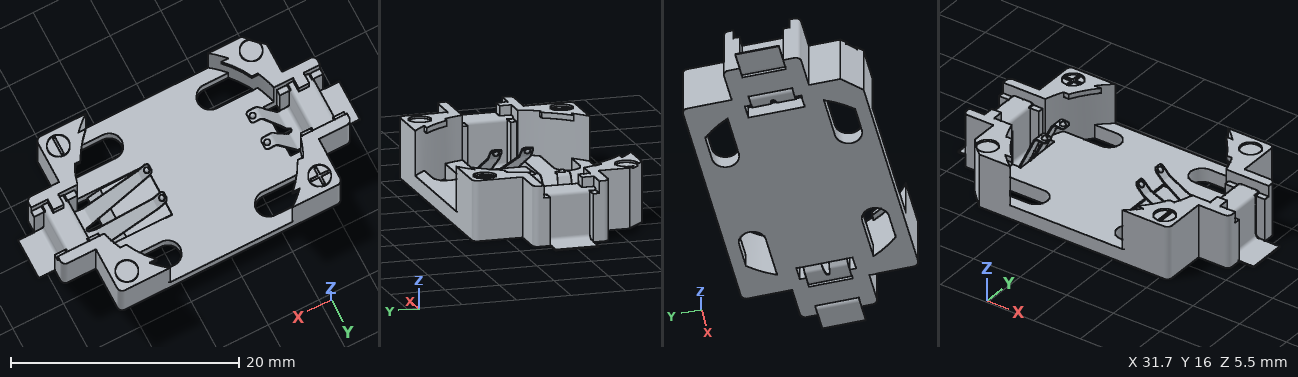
import cadquery as cq
import math


housing_height = 5.5
base_length = 22.0
base_width = 16.0
floor_height = 1.43
corner_radius = 0.5
corner_chamfer = 1.68
cell_radius = 10.02

lug_end = 14.25
lug_width = 6.97
channel_width = 5.07
shelf_height = 4.4

well_start = 8.72
well_end = 10.0

slot_y = 5.55
slot_width = 2.4
slot_inner_end = 3.77

lip_radius = 9.5
lip_thickness = 0.5

mark_x = 9.5
mark_y = 6.5
mark_radius = 1.0
mark_depth = 0.2
sign_length = 1.65
sign_width = 0.22
sign_height = 0.1

ramp_start = 2.98
ramp_knee = 7.45
ramp_start_depth = 0.2
ramp_knee_depth = 0.4
ramp_slope = 0.55

nub_length = 1.08
nub_width = 1.05

sheet = 0.1
contact_width = 3.93
contact_end = 15.85
outer_leg = 13.3
inner_leg = 10.9
bridge_top = 4.6
bend_radius = 0.4
tip_corner_radius = 0.38
bead_radius = 0.3
bead_setback = 0.4

wall_outer = outer_leg - sheet
wall_inner = inner_leg + sheet
wall_top = bridge_top - sheet
wall_centre = (wall_outer + wall_inner) / 2
mid_sheet = sheet / 2


def box(x_range, y_range, z_range):
    """Axis-aligned block between the given pairs of limits."""
    (x0, x1), (y0, y1), (z0, z1) = x_range, y_range, z_range
    return cq.Workplane("XY").box(x1 - x0, y1 - y0, z1 - z0, centered=False).translate((x0, y0, z0))


def both_ends(shape):
    """A feature of the +X end together with its mirror image at the -X end."""
    return shape.union(shape.mirror("YZ"))


def both_sides(width):
    return (-width / 2, width / 2)


def xz_prism(points, width):
    """Polygon in the XZ plane, extruded to a width centred on Y = 0."""
    return cq.Workplane("XZ").polyline(points).close().extrude(width / 2, both=True)


def housing_blank():
    full_height = (0, housing_height)
    base = box(both_sides(base_length), both_sides(base_width), full_height)
    base = base.edges("|Z").edges(">X or >Y").fillet(corner_radius)
    base = base.edges("|Z").edges("<X").edges("<Y").chamfer(corner_chamfer)
    lugs = box((-lug_end, lug_end), both_sides(lug_width), full_height)
    lugs = lugs.edges("|Z").fillet(corner_radius)
    return base.union(lugs)


def cell_bowl():
    return cq.Workplane("XY").workplane(offset=floor_height).circle(cell_radius).extrude(housing_height)


def corner_slots():
    """Through slots from a round inner end out to the wall of the bowl."""
    slot_radius = slot_width / 2
    round_x = slot_inner_end + slot_radius
    slots = cq.Workplane("XY")
    for side in (-1, 1):
        y = side * slot_y
        run = box((round_x, cell_radius), (y - slot_radius, y + slot_radius), (0, floor_height))
        end = cq.Workplane("XY").center(round_x, y).circle(slot_radius).extrude(floor_height)
        slots = slots.add(run.union(end))
    bowl_footprint = cq.Workplane("XY").circle(cell_radius).extrude(floor_height)
    return both_ends(slots.combine().intersect(bowl_footprint))


def snap_lips():
    """Ledges on the bowl wall, one above each slot and level with the top."""
    ring = cq.Workplane("XY").circle(cell_radius).circle(lip_radius).extrude(lip_thickness)
    ring = ring.translate((0, 0, housing_height - lip_thickness))
    lips = cq.Workplane("XY")
    for side in (-1, 1):
        y = side * slot_y
        y_range = (y - slot_width / 2, y + slot_width / 2)
        lips = lips.add(ring.intersect(box(both_sides(base_length), y_range, (0, housing_height))))
    return lips.combine()


def contact_seat_cut():
    """Channel across a lug, the slot for the contact legs and the well beside the floor."""
    full_width = both_sides(channel_width)
    full_height = (0, housing_height)
    channel = box((well_start, lug_end), full_width, (shelf_height, housing_height))
    well = box((well_start, well_end), full_width, full_height)
    leg_slot = box((well_end, lug_end), both_sides(contact_width), full_height)
    return both_ends(channel.union(well).union(leg_slot))


def saddle_walls():
    """Round-topped walls that carry the bridges of the contacts."""
    wall = box((wall_inner, wall_outer), both_sides(channel_width), (0, wall_top))
    return both_ends(wall.edges("|Y and >Z").fillet(bend_radius - sheet))


def nubs():
    """Blocks on the -Y channel wall that hold the bridges down."""
    x_range = (wall_centre - nub_width / 2, wall_centre + nub_width / 2)
    y_start = -channel_width / 2
    return both_ends(box(x_range, (y_start, y_start + nub_length), (bridge_top, housing_height)))


def spring_ramp():
    """Sloped pocket under the long spring arms."""
    knee_z = floor_height - ramp_knee_depth
    well_z = knee_z - ramp_slope * (well_start - ramp_knee)
    outline = [
        (ramp_start, floor_height),
        (ramp_start, floor_height - ramp_start_depth),
        (ramp_knee, knee_z),
        (well_start, well_z),
        (well_start, floor_height),
    ]
    return xz_prism(outline, channel_width)


def corner_marks():
    corners = [(x, y) for x in (-mark_x, mark_x) for y in (-mark_y, mark_y)]
    marks = cq.Workplane("XY").pushPoints(corners).circle(mark_radius).extrude(mark_depth)
    return marks.translate((0, 0, housing_height - mark_depth))


def polarity_signs():
    """Raised plus and minus bars in two of the corner marks."""
    bars = cq.Workplane("XY").pushPoints([(-mark_x, mark_y), (mark_x, -mark_y)])
    bars = bars.rect(sign_width, sign_length).extrude(sign_height)
    cross_bar = cq.Workplane("XY").center(-mark_x, mark_y)
    cross_bar = cross_bar.rect(sign_length, sign_width).extrude(sign_height)
    return bars.union(cross_bar).translate((0, 0, housing_height - mark_depth))


def make_housing():
    body = housing_blank().cut(cell_bowl()).cut(corner_slots())
    body = body.cut(contact_seat_cut()).union(saddle_walls()).cut(spring_ramp())
    body = body.cut(corner_marks()).union(polarity_signs())
    return body.union(snap_lips(), clean=False).union(nubs(), clean=False)


def unit(start, end):
    length = math.dist(start, end)
    return ((end[0] - start[0]) / length, (end[1] - start[1]) / length)


def sheet_side(points, radii, offset):
    """One face of a bent sheet as (arc start, arc middle, arc end) at each bend.

    `points` is the sheet's middle line, `radii` its middle bend radii, and
    `offset` the distance of the face to the left of the middle line.
    """
    arcs = []
    for before, corner, after, radius in zip(points, points[1:], points[2:], radii):
        way_in = unit(before, corner)
        way_out = unit(corner, after)
        turn = math.atan2(
            way_in[0] * way_out[1] - way_in[1] * way_out[0],
            way_in[0] * way_out[0] + way_in[1] * way_out[1],
        )
        left = math.copysign(1, turn)
        setback = radius * math.tan(abs(turn) / 2)
        start_x = corner[0] - way_in[0] * setback
        start_z = corner[1] - way_in[1] * setback
        centre_x = start_x - way_in[1] * radius * left
        centre_z = start_z + way_in[0] * radius * left
        face_radius = radius - offset * left
        heading = math.atan2(way_in[1], way_in[0])
        arc = []
        for share in (0, 0.5, 1):
            angle = heading + share * turn - left * math.pi / 2
            arc.append((centre_x + face_radius * math.cos(angle), centre_z + face_radius * math.sin(angle)))
        arcs.append(arc)
    return arcs


def end_point(towards, end, offset):
    """Corner of the sheet at its end, `offset` to the left of the direction of travel."""
    return (end[0] - towards[1] * offset, end[1] + towards[0] * offset)


def bent_sheet(points, radii, width):
    """Sheet of constant thickness that follows `points`, with rounded bends."""
    first = unit(points[0], points[1])
    last = unit(points[-2], points[-1])
    left = sheet_side(points, radii, mid_sheet)
    right = sheet_side(points, radii, -mid_sheet)
    profile = cq.Workplane("XZ").moveTo(*end_point(first, points[0], mid_sheet))
    for start, middle, end in left:
        profile = profile.lineTo(*start).threePointArc(middle, end)
    profile = profile.lineTo(*end_point(last, points[-1], mid_sheet))
    profile = profile.lineTo(*end_point(last, points[-1], -mid_sheet))
    for start, middle, end in reversed(right):
        profile = profile.lineTo(*end).threePointArc(middle, start)
    profile = profile.lineTo(*end_point(first, points[0], -mid_sheet)).close()
    return profile.extrude(width / 2, both=True)


def fork_notch(nose_x, root, arm_end):
    """Tapered gap between the two arms, with a round nose; `root` and `arm_end` are (x, half width)."""
    nose_radius = 0.2
    nose_start = nose_x - nose_radius
    past_tips = 0
    notch = cq.Workplane("XY").moveTo(past_tips, arm_end[1]).lineTo(*arm_end).lineTo(*root)
    notch = notch.lineTo(nose_start, nose_radius)
    notch = notch.threePointArc((nose_x, 0), (nose_start, -nose_radius))
    notch = notch.lineTo(root[0], -root[1]).lineTo(arm_end[0], -arm_end[1])
    return notch.lineTo(past_tips, -arm_end[1]).close().extrude(housing_height)


def arm_blanks(tip_x, inner_half_width):
    """Plan of the two arms, with rounded corners at the tips."""
    arms = cq.Workplane("XY")
    for side in (-1, 1):
        y_range = sorted((side * inner_half_width, side * contact_width / 2))
        arm = box((tip_x, well_end), y_range, (0, housing_height))
        arms = arms.add(arm.edges("|Z and <X").fillet(tip_corner_radius))
    return arms.combine()


def bead(knee, tip, y):
    """Round contact point that stands out of both faces of an arm near its tip."""
    along = unit(knee, tip)
    x = tip[0] - along[0] * bead_setback
    z = tip[1] - along[1] * bead_setback
    return cq.Workplane("XY").sphere(bead_radius).translate((x, y, z))


def make_contact(foot, knee, tip, foot_radius, knee_radius, notch_nose, notch_root, notch_end):
    """Contact that wraps over its wall and ends in two sprung arms, from foot to knee to tip."""
    bridge_z = bridge_top - mid_sheet
    outer_x = outer_leg - mid_sheet
    inner_x = inner_leg + mid_sheet
    inside_bend = bend_radius + mid_sheet
    outside_bend = bend_radius - mid_sheet
    middle_line = [
        (contact_end, mid_sheet),
        (outer_x, mid_sheet),
        (outer_x, bridge_z),
        (inner_x, bridge_z),
        (inner_x, mid_sheet),
        foot,
        knee,
        tip,
    ]
    radii = [inside_bend, outside_bend, outside_bend, inside_bend, foot_radius, knee_radius]
    strip = bent_sheet(middle_line, radii, channel_width)

    legs = box((well_end, contact_end), both_sides(contact_width), (0, shelf_height))
    bridge = box((well_end, lug_end), both_sides(channel_width), (shelf_height, bridge_top))
    tip_x = tip[0] - mid_sheet
    arms = arm_blanks(tip_x, notch_end[1])
    root_web = box((notch_end[0], well_end), both_sides(contact_width), (0, housing_height))
    plan = legs.union(bridge).union(arms).union(root_web)
    contact = strip.intersect(plan).cut(fork_notch(notch_nose, notch_root, notch_end))

    bead_y = (contact_width / 2 + notch_end[1]) / 2
    for side in (-1, 1):
        contact = contact.union(bead(knee, tip, side * bead_y))
    return contact


def make_long_contact():
    """Contact at the +X end, whose arms reach in under the cell."""
    return make_contact(
        foot=(9.4, mid_sheet),
        knee=(4.05, 2.98),
        tip=(3.1, 3.95),
        foot_radius=0.45,
        knee_radius=0.15,
        notch_nose=10.08,
        notch_root=(9.2, 0.32),
        notch_end=(4.03, 0.92),
    )


def make_short_contact():
    """Contact at the -X end, whose steep arms press on the rim of the cell."""
    contact = make_contact(
        foot=(9.7, mid_sheet),
        knee=(7.6, 4.53),
        tip=(6.6, 4.4),
        foot_radius=0.32,
        knee_radius=0.4,
        notch_nose=10.08,
        notch_root=(9.38, 0.38),
        notch_end=(7.45, 0.8),
    )
    return contact.mirror("YZ")


housing = make_housing()
long_contact = make_long_contact()
short_contact = make_short_contact()

bodies = [housing, long_contact, short_contact]
result = cq.Compound.makeCompound([body.solids().val() for body in bodies])